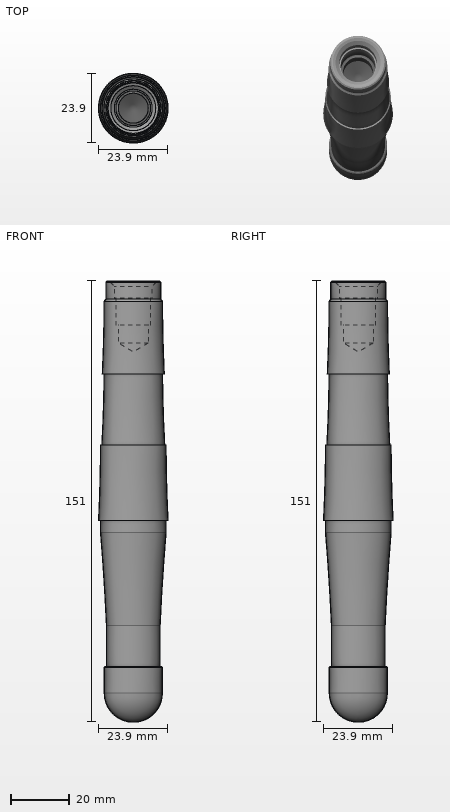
import cadquery as cq
import math

total_length = 151.0

cap_diameter = 20.0
cap_top = 19.0
cap_chamfer = 0.3

neck_top = 33.0
collar_bottom = 64.9
grip_bottom = 69.0
middle_bottom = 95.0
upper_bottom = 119.1
shoulder_bottom = 144.0
shoulder_top = 144.8

neck_diameter = 18.4
collar_diameter = 22.5
grip_bottom_diameter = 23.9
grip_top_diameter = 22.5
middle_bottom_diameter = 21.6
section_top_diameter = 20.1
upper_bottom_diameter = 21.3
spigot_diameter = 18.9
spigot_chamfer = 0.5

flank_bow = 0.2

lip_diameter = 17.2
mouth_diameter = 15.4
entry_diameter = 13.0
thread_diameter = 12.0
pilot_diameter = 10.3
lip_depth = 0.5
countersink_depth = 1.8
entry_depth = 5.7
thread_depth = 15.1
pilot_depth = 21.1
drill_tip_angle = 118.0


def revolve_profile(profile):
    """Revolve a closed radius-height profile about the Z axis."""
    return profile.close().revolve(360, (0, 0, 0), (0, 1, 0))


def flare_up(profile, bottom_diameter, bottom, top_diameter, top):
    """Step out to the lower edge of a section, then follow its hollow flank up."""
    middle_radius = (bottom_diameter + top_diameter) / 4 - flank_bow
    return (
        profile.lineTo(bottom_diameter / 2, bottom)
        .threePointArc((middle_radius, (bottom + top) / 2), (top_diameter / 2, top))
    )


def make_cap():
    """Cylinder with a hemispherical lower end and a chamfered upper edge."""
    radius = cap_diameter / 2
    dome_middle = radius * math.sqrt(0.5)
    profile = (
        cq.Workplane("XZ")
        .moveTo(0, 0)
        .threePointArc((dome_middle, radius - dome_middle), (radius, radius))
        .lineTo(radius, cap_top - cap_chamfer)
        .lineTo(radius - cap_chamfer, cap_top)
        .lineTo(0, cap_top)
    )
    return revolve_profile(profile)


def make_bore():
    """Stepped blind hole with a shallow lip, a countersink and a conical drill tip."""
    pilot_floor = total_length - pilot_depth
    tip_depth = pilot_diameter / 2 / math.tan(math.radians(drill_tip_angle / 2))
    profile = (
        cq.Workplane("XZ")
        .moveTo(0, total_length)
        .lineTo(lip_diameter / 2, total_length)
        .lineTo(mouth_diameter / 2, total_length - lip_depth)
        .lineTo(entry_diameter / 2, total_length - countersink_depth)
        .lineTo(entry_diameter / 2, total_length - entry_depth)
        .lineTo(thread_diameter / 2, total_length - entry_depth)
        .lineTo(thread_diameter / 2, total_length - thread_depth)
        .lineTo(pilot_diameter / 2, total_length - thread_depth)
        .lineTo(pilot_diameter / 2, pilot_floor)
        .lineTo(0, pilot_floor - tip_depth)
    )
    return revolve_profile(profile)


def make_barrel():
    """Turned barrel: neck, taper, collar, three flared sections and a spigot."""
    taper_middle_radius = (neck_diameter + collar_diameter) / 4 - flank_bow
    taper_middle = (neck_top + collar_bottom) / 2
    profile = (
        cq.Workplane("XZ")
        .moveTo(0, cap_top)
        .lineTo(neck_diameter / 2, cap_top)
        .lineTo(neck_diameter / 2, neck_top)
        .threePointArc((taper_middle_radius, taper_middle), (collar_diameter / 2, collar_bottom))
        .lineTo(collar_diameter / 2, grip_bottom)
    )
    profile = flare_up(profile, grip_bottom_diameter, grip_bottom, grip_top_diameter, middle_bottom)
    profile = flare_up(profile, middle_bottom_diameter, middle_bottom, section_top_diameter, upper_bottom)
    profile = flare_up(profile, upper_bottom_diameter, upper_bottom, section_top_diameter, shoulder_bottom)
    profile = (
        profile.lineTo(spigot_diameter / 2, shoulder_top)
        .lineTo(spigot_diameter / 2, total_length - spigot_chamfer)
        .lineTo(spigot_diameter / 2 - spigot_chamfer, total_length)
        .lineTo(0, total_length)
    )
    return revolve_profile(profile).cut(make_bore())


cap = make_cap()
barrel = make_barrel()

result = cq.Compound.makeCompound([cap.val(), barrel.val()])